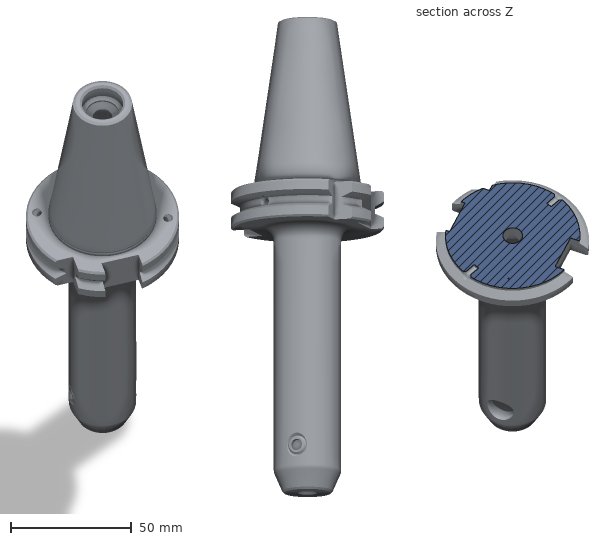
import cadquery as cq
import math

total_length = 198.4
taper_length = 68.5
gauge_z = total_length - taper_length
flange_gap = 3.2
flange_height = 15.9
flange_top_z = gauge_z - flange_gap
flange_bottom_z = flange_top_z - flange_height
groove_z = (flange_top_z + flange_bottom_z) / 2

taper_half_slope = 7 / 48
gauge_radius = 22.2
taper_overrun = 1.0
taper_base_z = gauge_z - taper_overrun
taper_base_radius = gauge_radius + taper_overrun * taper_half_slope
taper_end_radius = gauge_radius - taper_length * taper_half_slope
taper_end_chamfer_width = 1.2
taper_end_chamfer_height = 0.5

collar_radius = 22.5
v_groove_depth = 0.3
v_groove_width = 1.2

flange_radius = 31.7
flange_chamfer = 0.8
groove_mouth = 6.7
groove_floor_width = 3.0
groove_floor_radius = 28.0

shank_diameter = 28.0
shank_radius = shank_diameter / 2
shank_fillet = 4.8
shoulder_z = 8.7
shoulder_blend_radius = 3.5
nose_radius = 10.5
nose_chamfer = 0.8

bore_radius = 4.0
mouth_radius = 8.5
mouth_chamfer = 0.9
mouth_depth = 5.8
thread_radius = 6.7
thread_start_depth = 6.5
thread_end_depth = 7.3
drill_cone_angle = 120
drill_cone_height = (thread_radius - bore_radius) / math.tan(math.radians(drill_cone_angle / 2))

slot_width = 16.0
left_slot_floor = 22.6
right_slot_floor = 25.0
notch_offset = 18.3

coolant_angles = (70, 250)
coolant_pitch_radius = 26.8
coolant_slope = 30
coolant_mouth_radius = 2.2
coolant_radius = 1.2
coolant_depth = flange_height / 2 / math.cos(math.radians(coolant_slope))
coolant_meeting_radius = coolant_pitch_radius - flange_height / 2 * math.tan(math.radians(coolant_slope))

screw_z = 18.0
screw_mouth_radius = 5.0
screw_radius = 4.0
screw_chamfer = 0.8
screw_gap = 0.2
screw_seat = 8.0
socket_radius = 2.4
socket_depth = 2.0
clearance_radius = 6.0
clearance_depth = 5.0


def revolve_outline(outline):
    """Close a radius-height outline and turn it about the Z axis."""
    return outline.close().revolve(360, (0, 0, 0), (0, 1, 0))


def body():
    """Turned outside of the holder, from the nose up to the taper end."""
    rim_radius = flange_radius - flange_chamfer
    fillet_inset = shank_fillet * (1 - math.sqrt(0.5))

    cone_angle = math.atan2(shank_radius - nose_radius, shoulder_z - nose_chamfer)
    blend_length = shoulder_blend_radius * math.tan(cone_angle / 2)
    blend_start = (
        shank_radius - blend_length * math.sin(cone_angle),
        shoulder_z - blend_length * math.cos(cone_angle),
    )
    blend_end = (shank_radius, shoulder_z + blend_length)
    blend_middle = (
        shank_radius - shoulder_blend_radius * (1 - math.cos(cone_angle / 2)),
        blend_end[1] - shoulder_blend_radius * math.sin(cone_angle / 2),
    )

    return revolve_outline(
        cq.Workplane("XZ")
        .lineTo(nose_radius - nose_chamfer, 0)
        .lineTo(nose_radius, nose_chamfer)
        .lineTo(*blend_start)
        .threePointArc(blend_middle, blend_end)
        .lineTo(shank_radius, flange_bottom_z - shank_fillet)
        .threePointArc(
            (shank_radius + fillet_inset, flange_bottom_z - fillet_inset),
            (shank_radius + shank_fillet, flange_bottom_z),
        )
        .lineTo(rim_radius, flange_bottom_z)
        .lineTo(flange_radius, flange_bottom_z + flange_chamfer)
        .lineTo(flange_radius, groove_z - groove_mouth / 2)
        .lineTo(groove_floor_radius, groove_z - groove_floor_width / 2)
        .lineTo(groove_floor_radius, groove_z + groove_floor_width / 2)
        .lineTo(flange_radius, groove_z + groove_mouth / 2)
        .lineTo(flange_radius, flange_top_z - flange_chamfer)
        .lineTo(rim_radius, flange_top_z)
        .lineTo(collar_radius, flange_top_z)
        .lineTo(collar_radius, taper_base_z - v_groove_width)
        .lineTo(collar_radius - v_groove_depth, taper_base_z - v_groove_width / 2)
        .lineTo(taper_base_radius, taper_base_z)
        .lineTo(taper_end_radius, total_length - taper_end_chamfer_height)
        .lineTo(taper_end_radius - taper_end_chamfer_width, total_length)
        .lineTo(0, total_length)
    )


def axial_bore():
    """Through bore with the stepped mouth at the taper end."""
    return revolve_outline(
        cq.Workplane("XZ")
        .lineTo(bore_radius, 0)
        .lineTo(bore_radius, total_length - thread_end_depth - drill_cone_height)
        .lineTo(thread_radius, total_length - thread_end_depth)
        .lineTo(thread_radius, total_length - thread_start_depth)
        .lineTo(mouth_radius, total_length - mouth_depth)
        .lineTo(mouth_radius, total_length - mouth_chamfer)
        .lineTo(mouth_radius + mouth_chamfer, total_length)
        .lineTo(0, total_length)
    )


def flange_block(x_min, x_max, y_min, y_max):
    """Block over the full flange height."""
    size = (x_max - x_min, y_max - y_min, flange_height)
    return cq.Workplane("XY").box(*size, centered=False).translate((x_min, y_min, flange_bottom_z))


def flange_cutouts():
    """Two drive slots and the corner notch."""
    half = slot_width / 2
    left_slot = flange_block(-flange_radius, -left_slot_floor, -half, half)
    right_slot = flange_block(right_slot_floor, flange_radius, -half, half)
    notch = flange_block(notch_offset, flange_radius, -flange_radius, -notch_offset)
    return left_slot.union(right_slot).union(notch)


def countersunk_cutter(outer_radius, inner_radius, depth, point, direction):
    """Cutter for a hole with a 45 degree countersink; its rim reaches out past the entry point."""
    overshoot = outer_radius
    plane = cq.Plane(origin=point, normal=direction)
    profile = (
        cq.Workplane("XZ")
        .moveTo(0, -overshoot)
        .lineTo(outer_radius, -overshoot)
        .lineTo(outer_radius, 0)
        .lineTo(inner_radius, outer_radius - inner_radius)
        .lineTo(inner_radius, depth)
        .lineTo(0, depth)
    )
    return cq.Workplane(obj=revolve_outline(profile).val().moved(plane.location))


def coolant_hole(angle):
    """Sloping hole from the flange top and the radial hole it meets."""
    x = math.cos(math.radians(angle))
    y = math.sin(math.radians(angle))
    lean = math.sin(math.radians(coolant_slope))
    sloping = countersunk_cutter(
        coolant_mouth_radius,
        coolant_radius,
        coolant_depth,
        (coolant_pitch_radius * x, coolant_pitch_radius * y, flange_top_z),
        (-lean * x, -lean * y, -math.cos(math.radians(coolant_slope))),
    )
    radial = countersunk_cutter(
        coolant_mouth_radius,
        coolant_radius,
        groove_floor_radius - coolant_meeting_radius,
        (groove_floor_radius * x, groove_floor_radius * y, groove_z),
        (-x, -y, 0),
    )
    return sloping.union(radial)


def screw_recess():
    """Countersunk ring around the clamping screw, with its socket."""
    seat = countersunk_cutter(
        screw_mouth_radius, screw_radius, screw_seat, (0, -shank_radius, screw_z), (0, 1, 0)
    )
    face_y = -shank_radius + screw_gap
    screw = (
        cq.Workplane("XZ", origin=(0, face_y, screw_z))
        .circle(screw_radius)
        .extrude(-screw_seat)
        .faces("<Y")
        .chamfer(screw_chamfer)
    )
    socket = cq.Workplane("XZ", origin=(0, face_y, screw_z)).circle(socket_radius).extrude(-socket_depth)
    return seat.cut(screw).union(socket)


def clearance_hole():
    """Plain blind hole in the +Y side, opposite the screw."""
    return (
        cq.Workplane("XZ", origin=(0, shank_radius, screw_z))
        .circle(clearance_radius)
        .extrude(clearance_depth)
    )


result = body().cut(axial_bore()).cut(flange_cutouts())
for angle in coolant_angles:
    result = result.cut(coolant_hole(angle))
result = result.cut(screw_recess()).cut(clearance_hole())